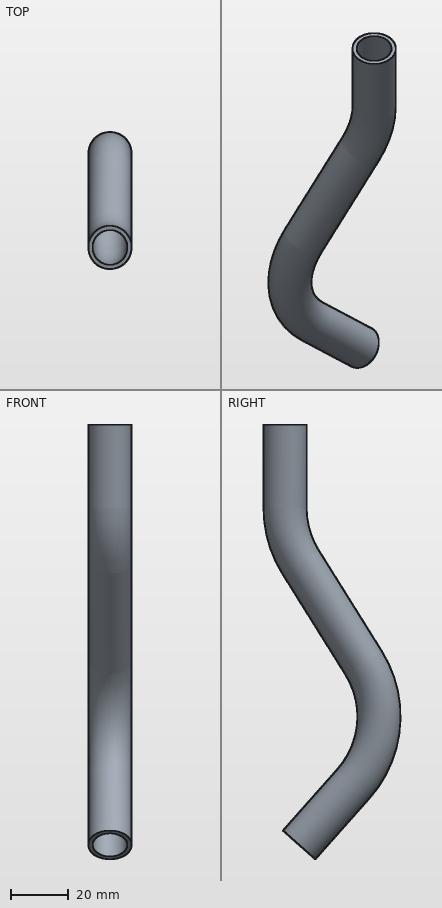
import cadquery as cq
import math

outer_diameter = 15.0
bore_diameter = 12.0

overall_height = 150.0
upper_length = 28.8
middle_length = 41.1
upper_bend_radius = 35.0
lower_bend_radius = 35.0
middle_tilt = 32.0
lower_tilt = 41.6


def downward(tilt):
    """Unit (Y, Z) direction pointing down, tilted towards +Y by the given degrees."""
    angle = math.radians(tilt)
    return math.sin(angle), -math.cos(angle)


def straight_end(start, tilt, length):
    y_step, z_step = downward(tilt)
    return start[0] + length * y_step, start[1] + length * z_step


def bend_point(start, start_tilt, tilt, radius):
    """Point where a bend from start reaches the given tilt."""
    turn = math.radians(tilt - start_tilt)
    chord = 2 * radius * math.sin(abs(turn) / 2)
    return straight_end(start, (start_tilt + tilt) / 2, chord)


top = (0.0, overall_height)
upper_bend_start = straight_end(top, 0, upper_length)
upper_bend_middle = bend_point(upper_bend_start, 0, middle_tilt / 2, upper_bend_radius)
upper_bend_end = bend_point(upper_bend_start, 0, middle_tilt, upper_bend_radius)
lower_bend_start = straight_end(upper_bend_end, middle_tilt, middle_length)
lower_bend_middle = bend_point(lower_bend_start, middle_tilt, 0, lower_bend_radius)
lower_bend_end = bend_point(lower_bend_start, middle_tilt, -lower_tilt, lower_bend_radius)

lower_angle = math.radians(lower_tilt)
rim_drop = outer_diameter / 2 * math.sin(lower_angle)
lower_length = (lower_bend_end[1] - rim_drop) / math.cos(lower_angle)
bottom = straight_end(lower_bend_end, -lower_tilt, lower_length)

centreline = (
    cq.Workplane("YZ")
    .moveTo(*top)
    .lineTo(*upper_bend_start)
    .threePointArc(upper_bend_middle, upper_bend_end)
    .lineTo(*lower_bend_start)
    .threePointArc(lower_bend_middle, lower_bend_end)
    .lineTo(*bottom)
)

result = (
    cq.Workplane("XY", origin=(0, 0, overall_height))
    .circle(outer_diameter / 2)
    .circle(bore_diameter / 2)
    .sweep(centreline)
)